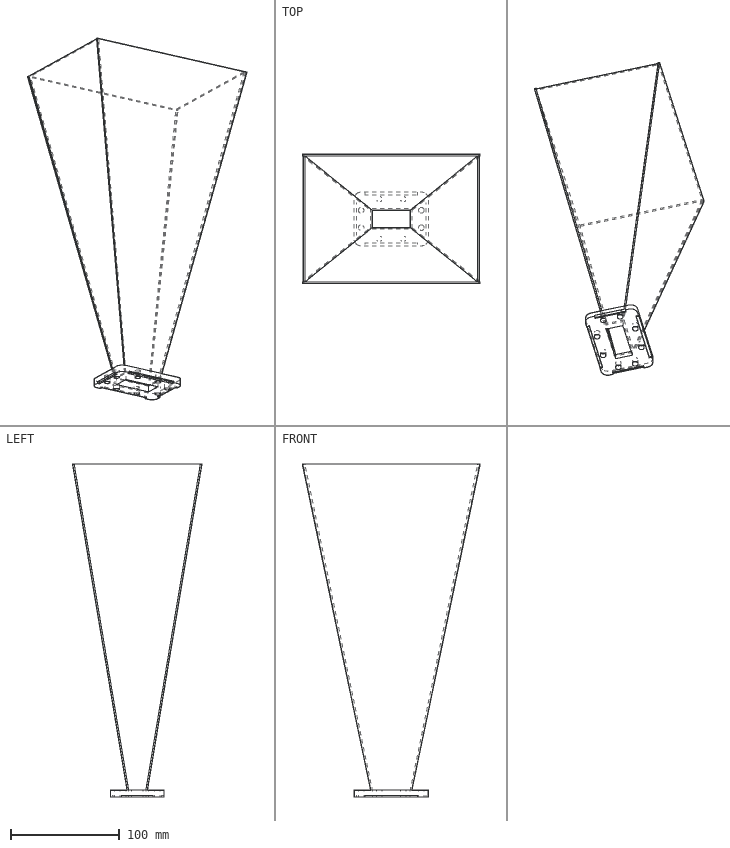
import cadquery as cq
import math

total_height = 306.32
broad_plate_top_width = 163.68
total_depth = 119.05

flange_length = 68.5
flange_width = 49.4
flange_thickness = 6.35
flange_corner_radius = 6.5

corner_pad_length = 10.0
relief_height = 1.4
relief_depth = 2.5
long_relief_length = flange_length - 2 * corner_pad_length
short_relief_length = flange_width - 2 * corner_pad_length

bolt_hole_diameter = 5.1
long_edge_hole_x = 11.0
long_edge_hole_y = 18.2
short_edge_hole_x = 27.7
short_edge_hole_y = 8.0

throat_length = 34.85
throat_width = 15.8

sheet_thickness = 1.5
mouth_length = 159.0
mouth_width = 116.091
broad_plate_bottom_width = 38.0

horn_height = total_height - flange_thickness

side_lean = math.atan2((mouth_length - throat_length) / 2, horn_height)
broad_lean = math.atan2((mouth_width - throat_width) / 2, horn_height)


def prism(plane, points, length):
    """Extrude a closed outline symmetrically about its plane."""
    return cq.Workplane(plane).polyline(points).close().extrude(length / 2, both=True)


def trapezoid(bottom_width, top_width):
    """Outline of a horn wall, standing on the flange and centred on the horn axis."""
    return [
        (-bottom_width / 2, flange_thickness),
        (bottom_width / 2, flange_thickness),
        (top_width / 2, total_height),
        (-top_width / 2, total_height),
    ]


def make_flange():
    """Rounded flange with the waveguide opening, bolt holes and edge reliefs."""
    flange = (
        cq.Workplane("XY")
        .rect(flange_length, flange_width)
        .extrude(flange_thickness)
        .edges("|Z")
        .fillet(flange_corner_radius)
    )
    opening = cq.Workplane("XY").rect(throat_length, throat_width).extrude(flange_thickness)
    bolt_holes = (
        cq.Workplane("XY")
        .rect(2 * long_edge_hole_x, 2 * long_edge_hole_y, forConstruction=True)
        .vertices()
        .circle(bolt_hole_diameter / 2)
        .extrude(flange_thickness)
    )
    end_bolt_holes = (
        cq.Workplane("XY")
        .rect(2 * short_edge_hole_x, 2 * short_edge_hole_y, forConstruction=True)
        .vertices()
        .circle(bolt_hole_diameter / 2)
        .extrude(flange_thickness)
    )
    flange = flange.cut(opening).cut(bolt_holes).cut(end_bolt_holes)
    for side in (-1, 1):
        long_relief = (
            cq.Workplane("XY")
            .center(0, side * flange_width / 2)
            .rect(long_relief_length, 2 * relief_depth)
            .extrude(relief_height)
        )
        short_relief = (
            cq.Workplane("XY")
            .center(side * flange_length / 2, 0)
            .rect(2 * relief_depth, short_relief_length)
            .extrude(relief_height)
        )
        flange = flange.cut(long_relief).cut(short_relief)
    return flange


def make_broad_plate(side):
    """Wide wall facing -Y (side = -1) or +Y (side = 1), its top edge cut square to the sheet."""
    inner_bottom = throat_width / 2
    outer_bottom = inner_bottom + sheet_thickness / math.cos(broad_lean)
    outer_top_height = total_height - sheet_thickness * math.sin(broad_lean)
    section = [
        (side * inner_bottom, flange_thickness),
        (side * outer_bottom, flange_thickness),
        (side * total_depth / 2, outer_top_height),
        (side * mouth_width / 2, total_height),
    ]
    outline = trapezoid(broad_plate_bottom_width, broad_plate_top_width)
    return prism("YZ", section, broad_plate_top_width).intersect(prism("XZ", outline, total_depth))


def make_side_plate(side):
    """Narrow wall facing -X (side = -1) or +X (side = 1), flat-topped, between the broad plates."""
    sheet_run = sheet_thickness / math.cos(side_lean)
    inner_bottom = throat_length / 2
    inner_top = mouth_length / 2
    section = [
        (side * inner_bottom, flange_thickness),
        (side * (inner_bottom + sheet_run), flange_thickness),
        (side * (inner_top + sheet_run), total_height),
        (side * inner_top, total_height),
    ]
    outline = trapezoid(throat_width, mouth_width)
    return prism("XZ", section, total_depth).intersect(prism("YZ", outline, broad_plate_top_width))


flange = make_flange()
broad_plates = [make_broad_plate(side) for side in (-1, 1)]
side_plates = [make_side_plate(side) for side in (-1, 1)]

result = cq.Compound.makeCompound(
    [flange.val()] + [plate.val() for plate in broad_plates + side_plates]
)